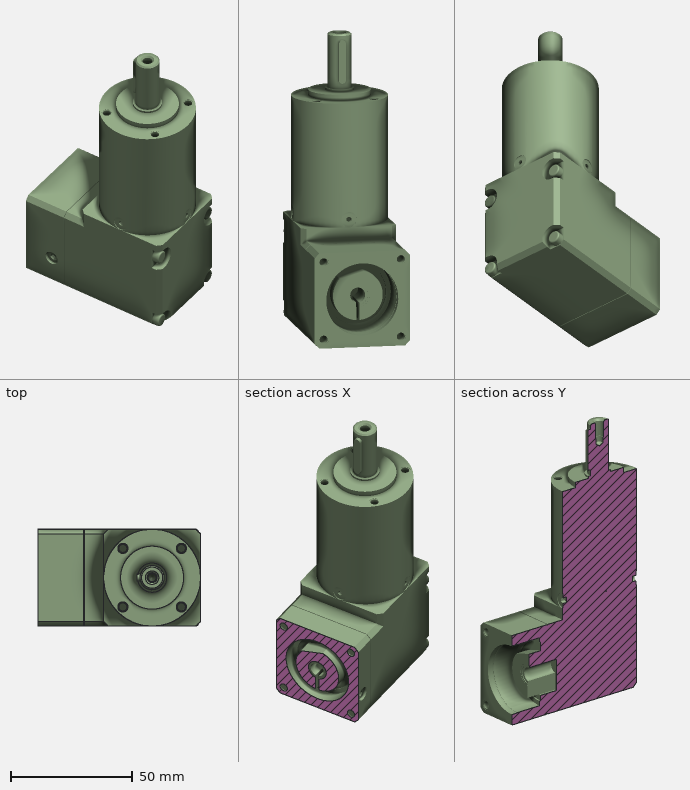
import cadquery as cq
import math


TOTAL_LENGTH = 67.0
TOTAL_HEIGHT = 123.0
SQUARE = 40.0
HALF = SQUARE / 2
EDGE_CHAMFER = 2.0

HOUSING_TOP = 45.0
TOWER_X = TOTAL_LENGTH - HALF
JOINT_X = 19.1
JOINT_WIDTH = 0.4
JOINT_DEPTH = 0.2

TOWER_TOP = 96.9
PILOT_DIAMETER = 26.0
PILOT_TOP = 99.3
COLLAR_DIAMETER = 12.0
COLLAR_TOP = 100.1
SHAFT_DIAMETER = 10.0
SHAFT_CHAMFER = 0.6
CENTRE_HOLE_DIAMETER = 3.3
CENTRE_HOLE_DEPTH = 9.8
CENTRE_MOUTH_DIAMETER = 5.5
CENTRE_THREAD_DIAMETER = 4.0
CENTRE_THREAD_DEPTH = 7.4
DRILL_POINT_ANGLE = 118.0

KEY_WIDTH = 3.0
KEY_BOTTOM = 102.6
KEY_TOP = 120.8
KEY_REACH = 6.3

THREAD_DIAMETER = 3.3
THREAD_MOUTH_DIAMETER = 4.2
THREAD_MOUTH_DEPTH = 0.1
THREAD_DEPTH = 9.8
OUTPUT_HOLE_SPACING = 24.1
INPUT_HOLE_SPACING = 32.5

PLUG_DIAMETER = 6.3
PLUG_RECESS = 0.4
PLUG_CLEARANCE = 0.1
PLUG_Z = HOUSING_TOP + PLUG_CLEARANCE + PLUG_DIAMETER / 2
PLUG_HEX = 2.0
PLUG_HEX_DEPTH = 1.8

PILOT_BORE_DIAMETER = 30.3
PILOT_BORE_DEPTH = 3.0
BORE_DIAMETER = 30.0
BORE_DEPTH = 14.8
HUB_SEAT_DIAMETER = 26.0
HUB_DIAMETER = 20.9
HUB_SEAT_DEPTH = 0.6
HUB_FACE_X = 9.1
HUB_FLAT_DISTANCE = 9.0
HUB_FLAT_ANGLE = 16.0
HUB_FACE_STEPS = ((10.0, 0.1), (8.4, 0.4))
MOTOR_SHAFT_DIAMETER = 6.3
MOTOR_SHAFT_DEPTH = 14.8
SLIT_WIDTH = 1.4
SLIT_REACH = 10.6

ACCESS_X = 12.9
ACCESS_Z = 13.4
ACCESS_DIAMETER = 6.0
ACCESS_DEPTH = 1.2
ACCESS_HEX = 3.0
ACCESS_HEX_DEPTH = 1.8

SCREW_OFFSET = 17.0
SCREW_POCKET_RADIUS = 4.9
SCREW_POCKET_DEPTH = 4.2
SCREW_HEAD_DIAMETER = 5.5
SCREW_HEAD_HEIGHT = 3.1
SCREW_HEAD_ROUND = 0.6


def box(x0, x1, y0, y1, z0, z1):
    return cq.Workplane("XY").box(x1 - x0, y1 - y0, z1 - z0, centered=False).translate((x0, y0, z0))


def cylinder(start, direction, diameter, length):
    solid = cq.Solid.makeCylinder(diameter / 2, length, cq.Vector(*start), cq.Vector(*direction))
    return cq.Workplane(obj=solid)


def cone(start, direction, start_diameter, end_diameter, length):
    solid = cq.Solid.makeCone(
        start_diameter / 2, end_diameter / 2, length, cq.Vector(*start), cq.Vector(*direction)
    )
    return cq.Workplane(obj=solid)


def hex_socket(start, direction, across_flats, depth):
    """Hexagonal prism with a corner pointing up, for horizontal directions."""
    plane = cq.Plane(origin=start, xDir=(0, 0, 1), normal=direction)
    across_corners = across_flats / math.cos(math.pi / 6)
    return cq.Workplane(plane).polygon(6, across_corners).extrude(depth)


def threaded_hole(start, direction):
    hole = cylinder(start, direction, THREAD_DIAMETER, THREAD_DEPTH)
    return hole.union(cylinder(start, direction, THREAD_MOUTH_DIAMETER, THREAD_MOUTH_DEPTH))


def square_points(spacing):
    half = spacing / 2
    return [(a, b) for a in (-half, half) for b in (-half, half)]


def make_housing():
    base = box(0, TOTAL_LENGTH, -HALF, HALF, 0, SQUARE)
    base = base.edges("|X or (>X and (|Z or <Z))").chamfer(EDGE_CHAMFER)
    upright = box(TOWER_X - HALF, TOTAL_LENGTH, -HALF, HALF, HALF, HOUSING_TOP)
    upright = upright.edges("|Z").chamfer(EDGE_CHAMFER)
    return base.union(upright)


def make_joint_groove():
    """Shallow groove running around the square section at the adapter joint."""
    x0 = JOINT_X - JOINT_WIDTH / 2
    x1 = JOINT_X + JOINT_WIDTH / 2
    inner = HALF - JOINT_DEPTH
    outer_ring = box(x0, x1, -HALF, HALF, 0, SQUARE)
    core = box(x0, x1, -inner, inner, JOINT_DEPTH, SQUARE - JOINT_DEPTH)
    return outer_ring.cut(core.edges("|X").chamfer(EDGE_CHAMFER))


def make_tower():
    up = (0, 0, 1)
    tower = cylinder((TOWER_X, 0, HOUSING_TOP), up, SQUARE, TOWER_TOP - HOUSING_TOP)
    pilot = cylinder((TOWER_X, 0, TOWER_TOP), up, PILOT_DIAMETER, PILOT_TOP - TOWER_TOP)
    collar = cylinder((TOWER_X, 0, PILOT_TOP), up, COLLAR_DIAMETER, COLLAR_TOP - PILOT_TOP)
    shaft = cylinder((TOWER_X, 0, COLLAR_TOP), up, SHAFT_DIAMETER, TOTAL_HEIGHT - COLLAR_TOP)
    shaft = shaft.faces(">Z").edges().chamfer(SHAFT_CHAMFER)
    return tower.union(pilot).union(collar).union(shaft)


def make_key():
    plane = cq.Plane(
        origin=(TOWER_X, 0, (KEY_BOTTOM + KEY_TOP) / 2), xDir=(0, 0, 1), normal=(-1, 0, 0)
    )
    return cq.Workplane(plane).slot2D(KEY_TOP - KEY_BOTTOM, KEY_WIDTH).extrude(KEY_REACH)


def make_shaft_centre():
    """Countersunk threaded centre hole, ending in a drill point."""
    top = (TOWER_X, 0, TOTAL_HEIGHT)
    down = (0, 0, -1)
    mouth_depth = (CENTRE_MOUTH_DIAMETER - CENTRE_THREAD_DIAMETER) / 2
    hole = cylinder(top, down, CENTRE_HOLE_DIAMETER, CENTRE_HOLE_DEPTH)
    hole = hole.union(cylinder(top, down, CENTRE_THREAD_DIAMETER, CENTRE_THREAD_DEPTH))
    hole = hole.union(cone(top, down, CENTRE_MOUTH_DIAMETER, CENTRE_THREAD_DIAMETER, mouth_depth))
    point_length = CENTRE_HOLE_DIAMETER / 2 / math.tan(math.radians(DRILL_POINT_ANGLE / 2))
    bottom = (TOWER_X, 0, TOTAL_HEIGHT - CENTRE_HOLE_DEPTH)
    return hole.union(cone(bottom, down, CENTRE_HOLE_DIAMETER, 0, point_length))


def make_plug_recess(direction):
    """Flat-bottomed plug recess with a hexagonal socket, cut into the tower wall."""
    dx, dy, dz = direction
    floor_radius = HALF - PLUG_RECESS
    floor = (TOWER_X + floor_radius * dx, floor_radius * dy, PLUG_Z)
    inward = (-dx, -dy, dz)
    recess = cylinder(floor, direction, PLUG_DIAMETER, 2 * PLUG_RECESS)
    return recess.union(hex_socket(floor, inward, PLUG_HEX, PLUG_HEX_DEPTH))


def make_motor_bore():
    """Stepped motor bore, with the slotted clamping hub left standing on its seat."""
    inward = (1, 0, 0)
    bore = cylinder((0, 0, HALF), inward, BORE_DIAMETER, BORE_DEPTH)
    bore = bore.union(cylinder((0, 0, HALF), inward, PILOT_BORE_DIAMETER, PILOT_BORE_DEPTH))

    seat_x = BORE_DEPTH + HUB_SEAT_DEPTH
    bore = bore.union(cylinder((0, 0, HALF), inward, HUB_SEAT_DIAMETER, seat_x))
    return bore.cut(make_clamp_hub(seat_x)).union(make_hub_openings())


def make_clamp_hub(seat_x):
    """Round hub with a tilted flat that relieves one side."""
    hub = cylinder((HUB_FACE_X, 0, HALF), (1, 0, 0), HUB_DIAMETER, seat_x - HUB_FACE_X)
    flat_cutter = box(
        HUB_FACE_X, seat_x,
        -HUB_DIAMETER, HUB_DIAMETER,
        HALF + HUB_FLAT_DISTANCE, HALF + HUB_DIAMETER,
    )
    flat_cutter = flat_cutter.rotate((0, 0, HALF), (1, 0, HALF), -HUB_FLAT_ANGLE)
    return hub.cut(flat_cutter)


def make_hub_openings():
    """Motor shaft hole with a stepped mouth, and the clamping slit below it."""
    face = (HUB_FACE_X, 0, HALF)
    inward = (1, 0, 0)
    openings = cylinder(face, inward, MOTOR_SHAFT_DIAMETER, MOTOR_SHAFT_DEPTH)
    for diameter, depth in HUB_FACE_STEPS:
        openings = openings.union(cylinder(face, inward, diameter, depth))
    slit = box(
        HUB_FACE_X, HUB_FACE_X + MOTOR_SHAFT_DEPTH,
        -SLIT_WIDTH / 2, SLIT_WIDTH / 2,
        HALF - SLIT_REACH, HALF,
    )
    return openings.union(slit)


def make_clamp_access():
    inward = (0, 1, 0)
    floor = (ACCESS_X, -HALF + ACCESS_DEPTH, ACCESS_Z)
    hole = cylinder((ACCESS_X, -HALF, ACCESS_Z), inward, ACCESS_DIAMETER, ACCESS_DEPTH)
    return hole.union(hex_socket(floor, inward, ACCESS_HEX, ACCESS_HEX_DEPTH))


def make_screw_pocket(side, z):
    """Round pocket that opens straight out through the nearest side wall."""
    x0 = TOTAL_LENGTH - SCREW_POCKET_DEPTH
    y = side * SCREW_OFFSET
    pocket = cylinder((x0, y, z), (1, 0, 0), 2 * SCREW_POCKET_RADIUS, SCREW_POCKET_DEPTH)
    outlet = box(
        x0, TOTAL_LENGTH,
        min(y, side * HALF), max(y, side * HALF),
        z - SCREW_POCKET_RADIUS, z + SCREW_POCKET_RADIUS,
    )
    return pocket.union(outlet)


def make_screw_head(side, z):
    floor = (TOTAL_LENGTH - SCREW_POCKET_DEPTH, side * SCREW_OFFSET, z)
    head = cylinder(floor, (1, 0, 0), SCREW_HEAD_DIAMETER, SCREW_HEAD_HEIGHT)
    return head.faces(">X").edges().fillet(SCREW_HEAD_ROUND)


body = make_housing().cut(make_joint_groove())
body = body.union(make_tower()).union(make_key())
body = body.cut(make_shaft_centre()).cut(make_motor_bore()).cut(make_clamp_access())

for x, y in square_points(OUTPUT_HOLE_SPACING):
    body = body.cut(threaded_hole((TOWER_X + x, y, TOWER_TOP), (0, 0, -1)))

for y, z in square_points(INPUT_HOLE_SPACING):
    body = body.cut(threaded_hole((0, y, HALF + z), (1, 0, 0)))

for outward in ((1, 0, 0), (-1, 0, 0), (0, 1, 0), (0, -1, 0)):
    body = body.cut(make_plug_recess(outward))

for screw_side in (-1, 1):
    for screw_z in (HALF - SCREW_OFFSET, HALF + SCREW_OFFSET):
        body = body.cut(make_screw_pocket(screw_side, screw_z))
        body = body.union(make_screw_head(screw_side, screw_z))

result = body